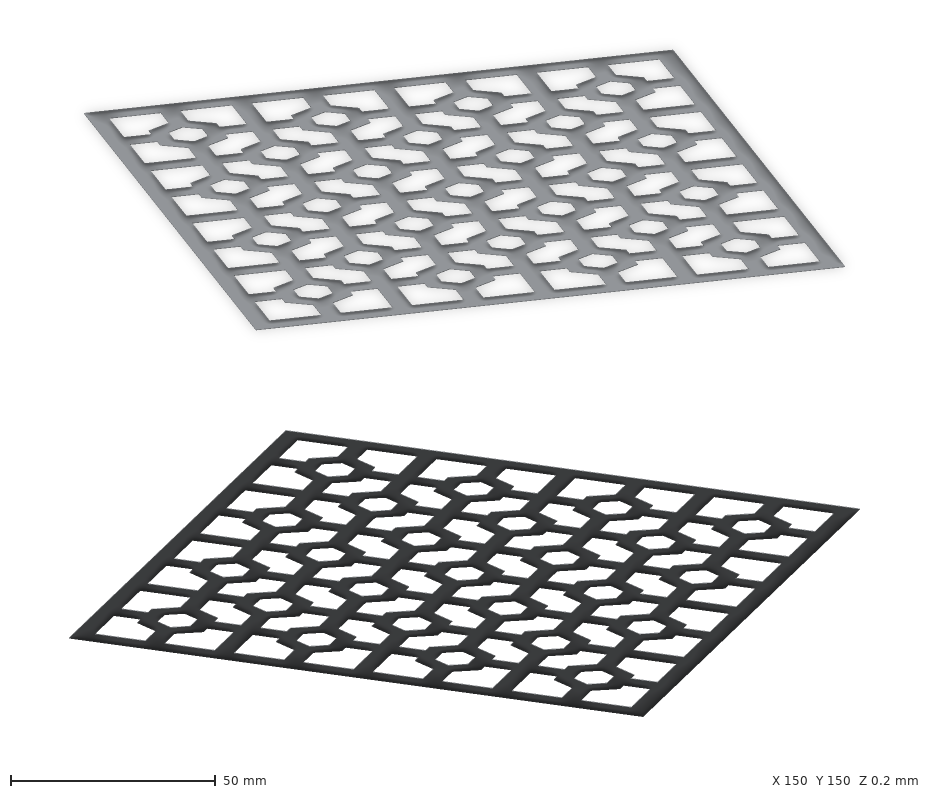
import cadquery as cq

side = 150.0
thickness = 0.2
bar_width = 5.0
cells = 8
hub_across_corners = 20.0
hole_across_corners = hub_across_corners / 2

pitch = (side - bar_width) / cells
window = pitch - bar_width


def grid_line(index):
    """Centreline position of a bar, counted from the frame bar at index 0."""
    return (index - cells / 2) * pitch


inner_lines = range(1, cells)
hub_centers = [
    (grid_line(column), grid_line(row))
    for column in inner_lines
    for row in inner_lines
    if column % 2 == row % 2
]


def hexagons(across_corners):
    """Hexagonal prisms at all hub centres, with corners pointing along X."""
    return (
        cq.Workplane("XY")
        .pushPoints(hub_centers)
        .polygon(6, across_corners)
        .extrude(thickness)
    )


def square_grid():
    """Square panel with a square window in every grid cell."""
    panel = cq.Workplane("XY").rect(side, side).extrude(thickness)
    windows = (
        cq.Workplane("XY")
        .rarray(pitch, pitch, cells, cells)
        .rect(window, window)
        .extrude(thickness)
    )
    return panel.cut(windows)


result = square_grid().union(hexagons(hub_across_corners)).cut(hexagons(hole_across_corners)).clean()